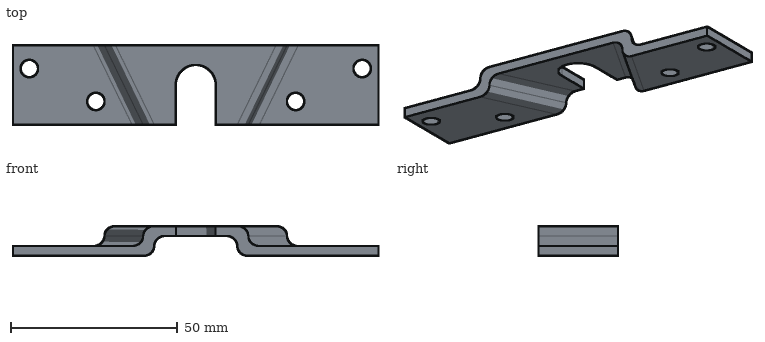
import cadquery as cq

length = 110.0
width = 24.0
height = 9.0
thickness = height / 3

bend_angle = 26.0
foot_half_span = 19.1
bend_radius = (height - thickness) / 2

slot_width = 12.0
slot_radius = slot_width / 2
slot_center_y = 0.0

hole_diameter = 5.2
outer_hole = (50.0, 5.0)
inner_hole = (30.0, -5.0)


def s_curve_down(profile, x, z):
    """Add two quarter arcs stepping right and down from the bridge level at (x, z)."""
    r = bend_radius
    return (
        profile
        .tangentArcPoint((x + r, z - r), relative=False)
        .tangentArcPoint((x + 2 * r, z - 2 * r), relative=False)
    )


def s_curve_up(profile, x, z):
    """Add two quarter arcs stepping left and up from the foot level at (x, z)."""
    r = bend_radius
    return (
        profile
        .tangentArcPoint((x - r, z + r), relative=False)
        .tangentArcPoint((x - 2 * r, z + 2 * r), relative=False)
    )


def make_right_half():
    """Extrude the joggled strip along the slanted bend and trim it to the plate outline."""
    top_start = -2 * bend_radius
    under_foot = -thickness
    profile = cq.Workplane("XZ").moveTo(-length, height).lineTo(top_start, height)
    profile = s_curve_down(profile, top_start, height)
    profile = profile.lineTo(length, thickness).lineTo(length, 0).lineTo(under_foot, 0)
    profile = s_curve_up(profile, under_foot, 0)
    profile = profile.lineTo(-length, height - thickness).close()
    strip = (
        profile.extrude(length, both=True)
        .rotate((0, 0, 0), (0, 0, 1), -bend_angle)
        .translate((foot_half_span, -width / 2, 0))
    )
    outline = cq.Workplane("XY").box(length / 2, width, height, centered=(False, True, False))
    return strip.intersect(outline)


def make_slot():
    """Round-ended slot, open at the front edge."""
    front_y = -width / 2
    return (
        cq.Workplane("XY")
        .moveTo(-slot_radius, front_y)
        .lineTo(-slot_radius, slot_center_y)
        .threePointArc((0, slot_center_y + slot_radius), (slot_radius, slot_center_y))
        .lineTo(slot_radius, front_y)
        .close()
        .extrude(height)
    )


def make_holes():
    """Cutters for the four screw holes through the feet."""
    centers = [(side * x, y) for side in (-1, 1) for x, y in (outer_hole, inner_hole)]
    return cq.Workplane("XY").pushPoints(centers).circle(hole_diameter / 2).extrude(height)


right_half = make_right_half()
plate = right_half.union(right_half.mirror("YZ")).clean()
result = plate.cut(make_slot()).cut(make_holes())